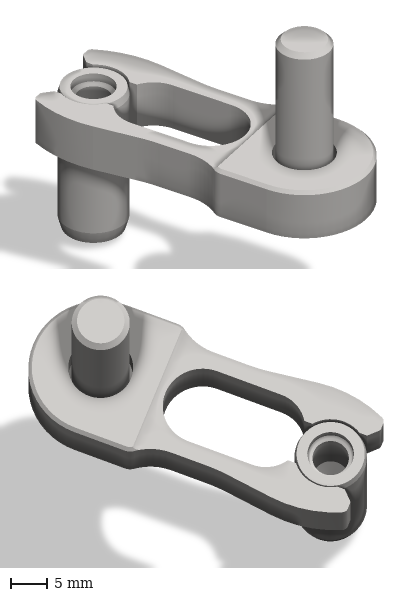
import cadquery as cq
import math

overall_length = 49.25
head_radius = 10.0
head_thickness = 7.65
arm_thickness = 7.15
head_chamfer = head_thickness - arm_thickness
fork_end_x = head_radius - overall_length

shoulder_x = -7.5
shoulder_radius = 2.0
neck_radius = 7.98
waist_half_width = 7.95
waist_end_x = -18.8
flare_start = (-21.85, 8.1)
cheek_start = (-28.7, 9.0)
cheek_end = (-38.75, 7.5)
tip_corner_y = 6.8

step_foot_x = -9.5
step_top_x = -8.35

window_half_width = 5.5
window_end_x = -9.6
window_shoulder_x = -24.6
throat_half_width = 3.1
throat_corner_x = -28.95

mouth_half_width = 4.25
mouth_chamfer = 1.45
mouth_corner_round = 0.5

post_diameter = 8.0
post_radius = post_diameter / 2
post_top_z = 26.35
post_tip_chamfer = 0.75
foot_radius = 4.5
foot_height = 4.0
foot_chamfer = foot_radius - post_radius

dowel_x = -34.05
dowel_diameter = 10.0
dowel_radius = dowel_diameter / 2
dowel_top_z = 6.85
overall_height = 43.35
dowel_bottom_z = post_top_z - overall_height
top_bevel_height = 1.15
top_bevel_width = 0.3
nose_height = 2.85
dome_height = 0.95
nose_radius = 4.5
nose_bulge = 0.05

socket_radius = 3.2
socket_depth = 1.3
bore_radius = 2.5
bore_depth = 9.85
socket_cone_angle = 120
drill_tip_angle = 118
socket_cone_height = (socket_radius - bore_radius) / math.tan(math.radians(socket_cone_angle / 2))
drill_tip_height = bore_radius / math.tan(math.radians(drill_tip_angle / 2))


def make_blank():
    """Solid lever outline at full head thickness, with the top rim of the head chamfered."""
    turn = math.acos(1 - (head_radius - waist_half_width) / (shoulder_radius + neck_radius))
    shoulder_end_x = shoulder_x - shoulder_radius * math.sin(turn)
    shoulder_end_y = head_radius - shoulder_radius * (1 - math.cos(turn))
    neck_end_x = shoulder_end_x - neck_radius * math.sin(turn)
    half = (
        cq.Workplane("XY")
        .moveTo(head_radius, 0)
        .threePointArc(
            (head_radius * math.cos(math.pi / 4), head_radius * math.sin(math.pi / 4)),
            (0, head_radius),
        )
        .lineTo(shoulder_x, head_radius)
        .tangentArcPoint((shoulder_end_x, shoulder_end_y), relative=False)
        .tangentArcPoint((neck_end_x, waist_half_width), relative=False)
        .lineTo(waist_end_x, waist_half_width)
        .tangentArcPoint(flare_start, relative=False)
        .lineTo(*cheek_start)
        .tangentArcPoint(cheek_end, relative=False)
        .tangentArcPoint((fork_end_x, tip_corner_y), relative=False)
        .lineTo(fork_end_x, 0)
        .close()
        .extrude(head_thickness)
    )
    blank = half.union(half.mirror("XZ")).clean()
    rim = cq.selectors.BoxSelector(
        (neck_end_x, -overall_length, arm_thickness),
        (overall_length, overall_length, overall_length),
    )
    return blank.edges(">Z").edges(rim).chamfer(head_chamfer)


def make_step_cutter():
    """Everything above the arms, ending in a hollow curve that rises to the head."""
    run = step_top_x - step_foot_x
    curve_radius = (run**2 + head_chamfer**2) / (2 * head_chamfer)
    half_angle = math.asin(run / curve_radius) / 2
    curve_middle = (
        step_foot_x + curve_radius * math.sin(half_angle),
        arm_thickness + curve_radius * (1 - math.cos(half_angle)),
    )
    return (
        cq.Workplane("XZ")
        .moveTo(fork_end_x, arm_thickness)
        .lineTo(step_foot_x, arm_thickness)
        .threePointArc(curve_middle, (step_top_x, head_thickness))
        .lineTo(fork_end_x, head_thickness)
        .close()
        .extrude(head_radius, both=True)
    )


def make_window():
    """Round-ended opening between the arms, narrowing to the throat at the dowel bore."""
    rise = window_half_width - throat_half_width
    run = window_shoulder_x - throat_corner_x
    curve_radius = (run**2 + rise**2) / (2 * rise)
    half_angle = math.asin(run / curve_radius) / 2
    curve_x = window_shoulder_x - curve_radius * math.sin(half_angle)
    curve_y = window_half_width - curve_radius * (1 - math.cos(half_angle))
    round_x = window_end_x - window_half_width
    return (
        cq.Workplane("XY")
        .moveTo(dowel_x, throat_half_width)
        .lineTo(throat_corner_x, throat_half_width)
        .threePointArc((curve_x, curve_y), (window_shoulder_x, window_half_width))
        .lineTo(round_x, window_half_width)
        .threePointArc((window_end_x, 0), (round_x, -window_half_width))
        .lineTo(window_shoulder_x, -window_half_width)
        .threePointArc((curve_x, -curve_y), (throat_corner_x, -throat_half_width))
        .lineTo(dowel_x, -throat_half_width)
        .close()
        .extrude(head_thickness)
    )


def make_mouth():
    """Opening at the fork tip with slanted entry sides."""
    entry_half_width = mouth_half_width + mouth_chamfer
    entry_x = fork_end_x + mouth_chamfer
    return (
        cq.Workplane("XY")
        .moveTo(fork_end_x, entry_half_width)
        .lineTo(entry_x, mouth_half_width)
        .lineTo(dowel_x, mouth_half_width)
        .lineTo(dowel_x, -mouth_half_width)
        .lineTo(entry_x, -mouth_half_width)
        .lineTo(fork_end_x, -entry_half_width)
        .close()
        .extrude(head_thickness)
    )


def make_lever():
    """Stepped head and arms, with the window, the fork mouth and the two round bores cut through."""
    dowel_bore = cq.Workplane("XY").center(dowel_x, 0).circle(dowel_radius).extrude(head_thickness)
    post_bore = cq.Workplane("XY").circle(foot_radius).extrude(head_thickness)
    lever = make_blank().cut(make_step_cutter())
    lever = lever.cut(make_window()).cut(make_mouth())
    lever = lever.cut(dowel_bore).cut(post_bore)
    corner_y = mouth_half_width + mouth_chamfer
    for side in (1, -1):
        corner = cq.selectors.NearestToPointSelector((fork_end_x, side * corner_y, arm_thickness / 2))
        lever = lever.edges("|Z").edges(corner).fillet(mouth_corner_round)
    return lever


def make_post():
    """Turned pin on a thicker foot that fills the lower part of the bore in the head."""
    return (
        cq.Workplane("XZ")
        .moveTo(0, 0)
        .lineTo(foot_radius, 0)
        .lineTo(foot_radius, foot_height - foot_chamfer)
        .lineTo(post_radius, foot_height)
        .lineTo(post_radius, post_top_z - post_tip_chamfer)
        .lineTo(post_radius - post_tip_chamfer, post_top_z)
        .lineTo(0, post_top_z)
        .close()
        .revolve(360, (0, 0, 0), (0, 1, 0))
    )


def make_dowel():
    """Turned pin with a beveled, bored top and a tapered, domed nose."""
    nose_top_z = dowel_bottom_z + nose_height
    dome_edge_z = dowel_bottom_z + dome_height
    nose_middle = ((dowel_radius + nose_radius) / 2 + nose_bulge, (nose_top_z + dome_edge_z) / 2)
    dome_radius = (nose_radius**2 + dome_height**2) / (2 * dome_height)
    dome_half_angle = math.asin(nose_radius / dome_radius) / 2
    dome_middle = (
        dome_radius * math.sin(dome_half_angle),
        dowel_bottom_z + dome_radius * (1 - math.cos(dome_half_angle)),
    )
    socket_floor_z = dowel_top_z - socket_depth
    bore_floor_z = dowel_top_z - bore_depth
    return (
        cq.Workplane("XZ", origin=(dowel_x, 0, 0))
        .moveTo(0, dowel_bottom_z)
        .threePointArc(dome_middle, (nose_radius, dome_edge_z))
        .threePointArc(nose_middle, (dowel_radius, nose_top_z))
        .lineTo(dowel_radius, dowel_top_z - top_bevel_height)
        .lineTo(dowel_radius - top_bevel_width, dowel_top_z)
        .lineTo(socket_radius, dowel_top_z)
        .lineTo(socket_radius, socket_floor_z)
        .lineTo(bore_radius, socket_floor_z - socket_cone_height)
        .lineTo(bore_radius, bore_floor_z)
        .lineTo(0, bore_floor_z - drill_tip_height)
        .close()
        .revolve(360, (0, 0, 0), (0, 1, 0))
    )


lever = make_lever()
post = make_post()
dowel = make_dowel()

result = cq.Compound.makeCompound([lever.val(), post.val(), dowel.val()])